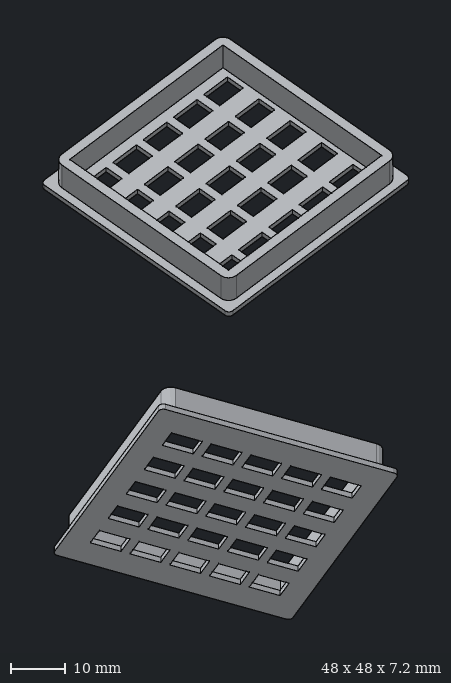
import cadquery as cq

flange_side = 48.0
flange_thickness = 1.2
flange_corner_radius = 1.0

total_height = 7.2
wall_outer_side = 44.5
wall_thickness = 2.0
wall_corner_radius = wall_thickness
wall_inner_side = wall_outer_side - 2 * wall_thickness
wall_height = total_height - flange_thickness

windows_per_side = 5
window_pitch = flange_side / (windows_per_side + 1)
window_width = 4.05
window_length = 6.2


def rounded_square_plate(side, thickness, corner_radius):
    """Square plate on the XY plane with rounded vertical edges."""
    plate = cq.Workplane("XY").rect(side, side).extrude(thickness)
    return plate.edges("|Z").fillet(corner_radius)


def perimeter_wall():
    """Wall with rounded outer corners and sharp inner corners, set on the flange."""
    block = rounded_square_plate(wall_outer_side, wall_height, wall_corner_radius)
    opening = cq.Workplane("XY").rect(wall_inner_side, wall_inner_side).extrude(wall_height)
    return block.cut(opening).translate((0, 0, flange_thickness))


def window_cutters():
    """Centred grid of boxes that pass through the floor."""
    return (
        cq.Workplane("XY")
        .rarray(window_pitch, window_pitch, windows_per_side, windows_per_side)
        .rect(window_width, window_length)
        .extrude(flange_thickness)
    )


flange = rounded_square_plate(flange_side, flange_thickness, flange_corner_radius)
result = flange.union(perimeter_wall()).cut(window_cutters())